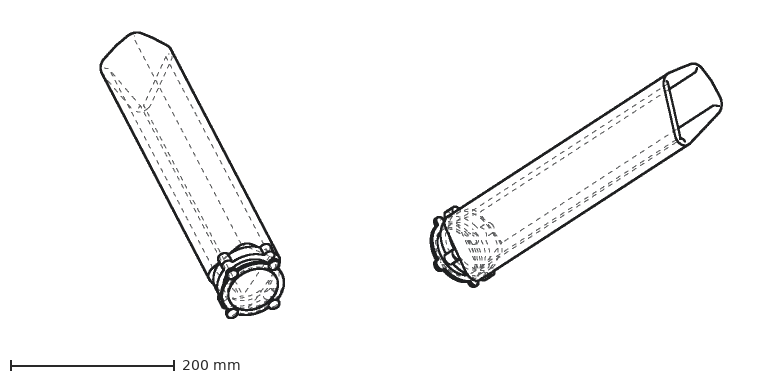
import cadquery as cq
import math

body_length = 420.0
ring_thickness = 15.0
neck_length = 15.0
flange_thickness = 3.5
spigot_length = 0.5

section_width = 92.45
section_height = 103.16
section_top = 45.9
corner_radius = 15.0
side_corner_drop = 39.2

mouth_angle = 18.0
mouth_flat_height = 13.9

wall_thickness = 11.0
bore_bottom_trim = 3.0
mouth_fillet = 5.0
selection_margin = 1.0

neck_diameter = 64.0
disc_diameter = 80.0
lug_diameter = 14.2
lug_offset_y = 26.8
lug_offset_z = 31.1

section_bottom = section_top - section_height


def kite_outline(grow):
    """Corner points of the kite through the corner arc centres, moved outward by `grow`."""
    half_width = section_width / 2 - corner_radius
    top = section_top - corner_radius
    side = section_top - side_corner_drop
    bottom = section_bottom + corner_radius
    upper_angle = math.atan2(top - side, half_width)
    lower_angle = math.atan2(side - bottom, half_width)
    bisector = (upper_angle + lower_angle) / 2
    reach = grow / math.sin(bisector)
    tilt = (lower_angle - upper_angle) / 2
    side_y = half_width + reach * math.cos(tilt)
    side_z = side + reach * math.sin(tilt)
    return [
        (0, top + grow / math.cos(upper_angle)),
        (side_y, side_z),
        (0, bottom - grow / math.cos(lower_angle)),
        (-side_y, side_z),
    ]


def kite_prism(grow, length):
    return cq.Workplane("YZ").polyline(kite_outline(grow)).close().extrude(length)


def make_body():
    return kite_prism(corner_radius, body_length).edges("|X").fillet(corner_radius)


def cut_mouth(body):
    """Slant the front end below a short upright face at the top."""
    slant_height = section_height - mouth_flat_height
    slant_depth = slant_height * math.tan(math.radians(mouth_angle))
    wedge = (
        cq.Workplane("XZ")
        .polyline([
            (0, section_top - mouth_flat_height),
            (slant_depth, section_bottom),
            (0, section_bottom),
        ])
        .close()
        .extrude(section_width / 2, both=True)
    )
    return body.cut(wedge)


def hollow_out(body):
    """Cut the bore, leaving an end wall as thick as the side walls."""
    bore_grow = corner_radius - wall_thickness
    bore = kite_prism(bore_grow, body_length - wall_thickness)
    bore_bottom = min(z for _, z in kite_outline(bore_grow))
    above_flat = (
        cq.Workplane("XY", origin=(0, 0, bore_bottom + bore_bottom_trim))
        .box(2 * body_length, section_width, section_height, centered=(True, True, False))
    )
    return body.cut(bore.intersect(above_flat))


def round_mouth(body):
    """Round the edges where the bore meets the mouth."""
    near_bore = kite_prism(corner_radius - wall_thickness + selection_margin, body_length / 2).val()
    rim = body.edges("not |X").filter(lambda edge: near_bore.isInside(edge.Center()))
    return rim.fillet(mouth_fillet)


def make_lugged_disc(start_x, disc_thickness, lug_length):
    plane = cq.Workplane("YZ", origin=(start_x, 0, 0))
    disc = plane.circle(disc_diameter / 2).extrude(disc_thickness)
    lugs = (
        plane.rect(2 * lug_offset_y, 2 * lug_offset_z, forConstruction=True)
        .vertices()
        .circle(lug_diameter / 2)
        .extrude(lug_length)
    )
    return disc.union(lugs)


def make_neck(start_x, length):
    return cq.Workplane("YZ", origin=(start_x, 0, 0)).circle(neck_diameter / 2).extrude(length)


neck_x = body_length + ring_thickness
flange_x = neck_x + neck_length
flange_lug_length = flange_thickness + spigot_length

housing = round_mouth(hollow_out(cut_mouth(make_body())))
ring = make_lugged_disc(body_length, ring_thickness, ring_thickness)
neck = make_neck(neck_x, neck_length + flange_lug_length)
flange = make_lugged_disc(flange_x, flange_thickness, flange_lug_length)

result = housing.union(ring).union(neck).union(flange)